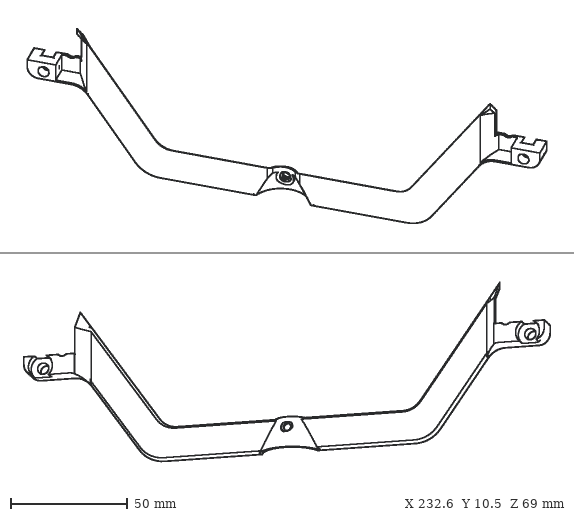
import cadquery as cq
import math

half_span = 116.3
tip_x = 93.7
tip_z = 69.0
arm_angle = math.radians(54.6)
arm_width = 15.1
plate_thickness = 2.0
edge_taper = 30.0
lower_bend_radius = 14.0
upper_bend_radius = 9.3

lug_depth = 9.8
lug_top = 48.4
lug_bottom = 39.8
lug_corner_radius = 5.1
lug_root_radius = 9.3
lug_hole_x = 108.8
lug_hole_z = 43.7
lug_hole_diameter = 5.0
lug_counterbore_diameter = 10.7
lug_counterbore_floor_y = 5.3

wing_depth = 9.0
wing_root_x = 88.4
wing_wall_top = 55.8
pocket_outer_x = 103.3
pocket_back_y = 8.4
pocket_front_x = 89.3
pocket_floor_thickness = 0.81
pocket_tip_z = 66.3
pocket_low_z = 62.0
pocket_ceiling_y = 4.5
wing_inner_face = [(95.0, pocket_back_y), (91.9, 3.3), (91.2, 2.0), (pocket_front_x, 0)]
scallop_x = 99.0
scallop_radius = 2.3
scallop_depth = 0.81

cone_axis_y = -4.0
cone_outer_bottom = 14.5
cone_outer_top = 7.7
cone_inner_bottom = 13.0
throat_radius = 7.0
throat_bottom_z = 12.5
flare_front_x = 7.5
flare_back_x = 5.1
seat_diameter = 8.0
screw_z = 10.2
screw_diameter = 3.3
screw_head_diameter = 5.1
front_recess_floor_y = 3.7
back_recess_floor_y = 5.0

margin = 4.7

arm_slope = math.tan(arm_angle)
upper_bend_x = tip_x - (tip_z - arm_width) / arm_slope
lower_bend_x = tip_x - tip_z / arm_slope + arm_width / math.sin(arm_angle)
lug_root_x = lower_bend_x + lug_bottom / arm_slope
lug_root_start_x = lug_root_x + lug_root_radius * math.tan(arm_angle / 2)
cone_back_y = cone_axis_y + cone_outer_bottom


def extrude_y(sketch, start_y, end_y):
    """Extrude an XZ sketch from start_y to end_y."""
    return sketch.extrude(start_y - end_y).translate((0, start_y, 0))


def cylinder_y(x, z, diameter, start_y, end_y):
    """Round bar along Y."""
    return extrude_y(cq.Workplane("XZ").center(x, z).circle(diameter / 2), start_y, end_y)


def fillet_y_edge(body, x, z, radius):
    """Round the edge parallel to Y nearest to (x, z)."""
    nearest = cq.selectors.NearestToPointSelector((x, lug_depth / 2, z))
    return body.edges("|Y").edges(nearest).fillet(radius)


def root_arc_point(angle, offset):
    """Point on the arc joining lug and arm; angle 0 is at the lug, offset is measured upward."""
    radius = lug_root_radius + offset
    return (
        lug_root_start_x - radius * math.sin(angle),
        lug_bottom - lug_root_radius + radius * math.cos(angle),
    )


def bent_arm():
    """Bar with tapered edges along the bottom and up the slope, overlong at both ends."""
    start_x = -lug_depth
    end_x = half_span
    points = [
        (start_x, 0),
        (lower_bend_x, 0),
        (end_x, (end_x - lower_bend_x) * arm_slope),
        (end_x, arm_width + (end_x - upper_bend_x) * arm_slope),
        (upper_bend_x, arm_width),
        (start_x, arm_width),
    ]
    slab = extrude_y(cq.Workplane("XZ").polyline(points).close(), 0, lug_depth)
    slab = fillet_y_edge(slab, lower_bend_x, 0, lower_bend_radius)
    slab = fillet_y_edge(slab, upper_bend_x, arm_width, upper_bend_radius)
    outline = slab.faces("<Y").wires().toPending()
    return outline.workplane(invert=True).extrude(lug_depth, taper=edge_taper, combine=False)


def lug_and_root():
    """Lug, its rounded root and the lower part of the wing it carries."""
    root_end = root_arc_point(arm_angle, 0)
    outline = (
        cq.Workplane("XZ")
        .moveTo(half_span, lug_top)
        .lineTo(half_span, lug_bottom)
        .lineTo(lug_root_start_x, lug_bottom)
        .threePointArc(root_arc_point(arm_angle / 2, 0), root_end)
        .lineTo(root_end[0], wing_wall_top)
        .lineTo(tip_x, wing_wall_top)
        .lineTo(tip_x, lug_top)
        .close()
    )
    return fillet_y_edge(extrude_y(outline, 0, lug_depth), half_span, lug_bottom, lug_corner_radius)


def depth_profile():
    """Top outline of the right half: thin strap, slanted wing and deep lug."""
    points = [
        (0, 0),
        (half_span, 0),
        (half_span, lug_depth),
        (tip_x, lug_depth),
        (tip_x, wing_depth),
        (wing_root_x, plate_thickness),
        (0, plate_thickness),
    ]
    return cq.Workplane("XY").polyline(points).close().extrude(tip_z)


def arm_with_wing():
    """Bent arm trimmed to the stretch between the middle plane and the outer face of the wing."""
    return bent_arm().intersect(cq.Workplane("XY").box(tip_x, lug_depth, tip_z, centered=False))


def above_pocket_ceiling():
    """Half space above the slanted plane that closes the top of the pocket."""
    peak = cq.Vector(tip_x, 0, pocket_tip_z)
    front_foot = cq.Vector(pocket_front_x, 0, pocket_low_z)
    back_foot = cq.Vector(tip_x, pocket_ceiling_y, pocket_low_z)
    normal = (back_foot - peak).cross(front_foot - peak)
    plane = cq.Plane(origin=peak.toTuple(), normal=normal.toTuple())
    return cq.Workplane(plane).rect(half_span, half_span).extrude(half_span)


def pocket():
    """Recess open to the front, bounded by the lug, the wing and a thin curved floor."""
    front_y = -margin
    plan = [
        (pocket_outer_x, front_y),
        (pocket_outer_x, pocket_back_y),
        *wing_inner_face,
        (pocket_front_x, front_y),
    ]
    recess = cq.Workplane("XY").polyline(plan).close().extrude(tip_z)

    floor_thickness = pocket_floor_thickness
    arc_end = root_arc_point(arm_angle, floor_thickness)
    end_x = arc_end[0] - margin
    space_above_floor = (
        cq.Workplane("XZ")
        .moveTo(pocket_outer_x, lug_bottom + floor_thickness)
        .lineTo(lug_root_start_x, lug_bottom + floor_thickness)
        .threePointArc(root_arc_point(arm_angle / 2, floor_thickness), arc_end)
        .lineTo(end_x, arc_end[1] - margin * arm_slope)
        .lineTo(end_x, tip_z)
        .lineTo(pocket_outer_x, tip_z)
        .close()
    )
    recess = recess.intersect(extrude_y(space_above_floor, front_y, lug_depth))
    return recess.cut(above_pocket_ceiling())


def lug_cuts():
    """Screw hole, its counterbore breaking out at the lug's top and bottom, and the scallop."""
    hole = cylinder_y(lug_hole_x, lug_hole_z, lug_hole_diameter, 0, lug_depth)
    counterbore = cylinder_y(
        lug_hole_x, lug_hole_z, lug_counterbore_diameter, lug_counterbore_floor_y, lug_depth
    )
    scallop_z = lug_top - scallop_depth + scallop_radius
    scallop = cylinder_y(scallop_x, scallop_z, 2 * scallop_radius, pocket_back_y, lug_depth)
    return hole.union(counterbore).union(scallop)


def right_half():
    body = arm_with_wing().union(lug_and_root()).intersect(depth_profile())
    return body.cut(pocket()).cut(lug_cuts())


def cone_on_axis(bottom_radius, top_radius, height):
    """Upright truncated cone on the boss axis, standing on Z = 0."""
    cone = cq.Solid.makeCone(bottom_radius, top_radius, height, pnt=cq.Vector(0, cone_axis_y, 0))
    return cq.Workplane(cone)


def cone_outside():
    """Outer cone, kept only behind the front face of the strap."""
    width = 2 * cone_outer_bottom
    behind_front = cq.Workplane("XY").box(width, width, arm_width, centered=(True, False, False))
    return cone_on_axis(cone_outer_bottom, cone_outer_top, arm_width).intersect(behind_front)


def cone_inside():
    """Hollow of the boss: cone with a round screw seat left in it, throat and flared front."""
    hollow = cone_on_axis(cone_inner_bottom, throat_radius, throat_bottom_z)
    hollow = hollow.cut(cylinder_y(0, screw_z, seat_diameter, 0, cone_back_y))
    throat = cq.Workplane("XY").center(0, cone_axis_y).circle(throat_radius).extrude(arm_width)
    flare_back_y = cone_axis_y + math.sqrt(throat_radius**2 - flare_back_x**2)
    flare_points = [
        (-flare_front_x, 0),
        (flare_front_x, 0),
        (flare_back_x, flare_back_y),
        (-flare_back_x, flare_back_y),
    ]
    flare = cq.Workplane("XY").polyline(flare_points).close().extrude(arm_width)
    return hollow.union(throat).union(flare)


def screw_cuts():
    """Through hole with a shallow recess at the front and a head recess at the back."""
    hole = cylinder_y(0, screw_z, screw_diameter, 0, cone_back_y)
    front_recess = cylinder_y(0, screw_z, screw_head_diameter, 0, front_recess_floor_y)
    back_recess = cylinder_y(0, screw_z, screw_head_diameter, back_recess_floor_y, cone_back_y)
    return hole.union(front_recess).union(back_recess)


half = right_half()
strap = half.union(half.mirror("YZ"))
result = strap.union(cone_outside()).cut(cone_inside()).cut(screw_cuts())